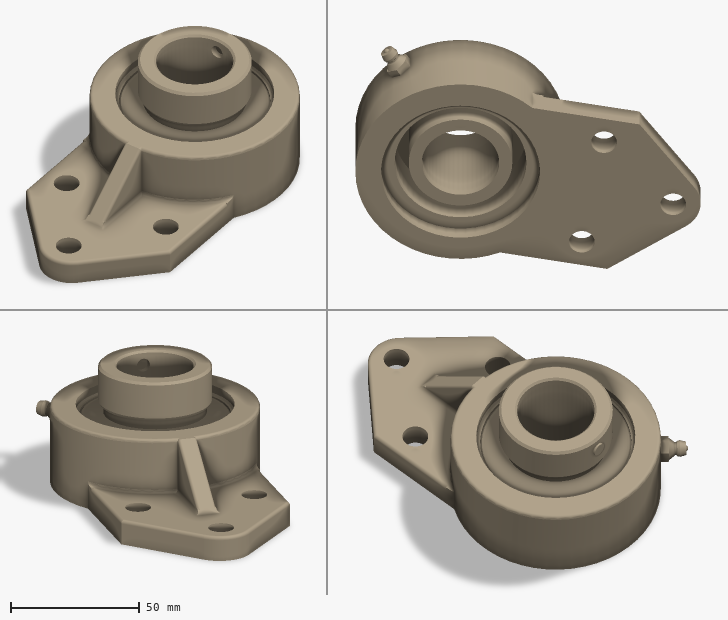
import cadquery as cq
import math

hub_diameter = 82.0
hub_radius = hub_diameter / 2
hub_height = 32.0
casting_fillet = 1.4
clearance = 0.1

plate_half_width = 34.5
plate_thickness = 9.9
plate_corner_y = -64.6
plate_length = 136 - hub_radius
nose_radius = 12.8

mounting_hole_diameter = 10.0
side_hole_x = 23.8
side_hole_y = -52.5
nose_hole_y = -84.3

rib_width = 7.6
rib_top_y = -41.3
rib_toe_y = -68.1
rib_edge_fillet = 1.1
rib_toe_height = casting_fillet + 2 * clearance

bore_diameter = 30.2
seat_diameter = 66.0
opening_diameter = 62.0
outer_ring_top = 28.8
outer_ring_bore = 51.4
outer_ring_chamfer = 0.7
seat_half_height = math.sqrt(seat_diameter**2 - opening_diameter**2) / 2
seat_center_z = outer_ring_top - seat_half_height
bearing_bottom = seat_center_z - seat_half_height

seal_diameter = 59.0
seal_thickness = 2.0
seal_edge_chamfer = 0.7
seal_rim_z = 27.9
seal_cone_diameter = 55.9
seal_inner_z = 28.8

inner_ring_diameter = 40.4
nose_diameter = 37.7
nose_top = 36.6

collar_diameter = 44.5
collar_bottom = 32.8
collar_top = 48.7
collar_top_chamfer = 1.0
collar_bottom_chamfer_height = 1.2
collar_bottom_chamfer_depth = 0.7
collar_bore_chamfer = 0.8

screw_diameter = 5.3
screw_z = 42.8
screw_inner_y = 17.7
screw_outer_y = 23.1

nipple_direction = (-1, 1, 0)
nipple_z = 22.0
shank_start = 36.7
hex_start = 40.8
hex_end = 44.0
shoulder_end = 46.0
neck_start = 46.4
neck_end = 47.0
head_start = 47.3
head_widest = 48.4
head_end = 50.9
ball_center = 50.5
shank_diameter = 5.3
hex_across_flats = 8.8
shoulder_diameter = 6.0
neck_diameter = 5.2
head_diameter = 6.5
head_start_diameter = 6.0
head_end_diameter = 5.3
ball_diameter = 2.5


def cylinder(diameter, bottom, top):
    return cq.Workplane("XY").workplane(offset=bottom).circle(diameter / 2).extrude(top - bottom)


def revolved(profile):
    """Turn a closed (radius, z) outline around the Z axis."""
    return cq.Workplane("XZ").polyline(profile).close().revolve(360, (0, 0), (0, 1))


def make_plate():
    nose_center_y = nose_radius - plate_length
    corner_drop = plate_corner_y - nose_center_y
    corner_distance = math.hypot(plate_half_width, corner_drop)
    tangent_angle = math.atan2(corner_drop, plate_half_width) - math.acos(nose_radius / corner_distance)
    tangent_x = nose_radius * math.cos(tangent_angle)
    tangent_y = nose_center_y + nose_radius * math.sin(tangent_angle)
    sharp_plate = (
        cq.Workplane("XY")
        .moveTo(-plate_half_width, 0)
        .lineTo(-plate_half_width, plate_corner_y)
        .lineTo(-tangent_x, tangent_y)
        .threePointArc((0, -plate_length), (tangent_x, tangent_y))
        .lineTo(plate_half_width, plate_corner_y)
        .lineTo(plate_half_width, 0)
        .close()
        .extrude(plate_thickness)
    )
    rounded_plate = sharp_plate.faces(">Z").edges("not >Y").fillet(casting_fillet)

    corner_y = -math.sqrt((hub_radius + casting_fillet) ** 2 - (plate_half_width - casting_fillet) ** 2)
    rounding_end_y = corner_y - clearance
    near_hub = (
        cq.Workplane("XY", origin=(0, rounding_end_y, 0))
        .box(2 * plate_half_width, -rounding_end_y, plate_thickness, centered=(True, False, False))
    )
    return rounded_plate.union(sharp_plate.intersect(near_hub))


def make_rib():
    slope = (hub_height - plate_thickness) / (rib_top_y - rib_toe_y)
    foot_z = plate_thickness / 2
    foot_y = rib_toe_y - (plate_thickness - foot_z) / slope
    back_y = rib_top_y + 2 * casting_fillet
    sharp_rib = (
        cq.Workplane("YZ")
        .polyline([(back_y, foot_z), (foot_y, foot_z), (rib_top_y, hub_height), (back_y, hub_height)])
        .close()
        .extrude(rib_width / 2, both=True)
    )
    upper_side_edges = sharp_rib.edges("(not |X) and (not |Z) and (not <Z)")
    rounded_rib = upper_side_edges.fillet(rib_edge_fillet)

    toe_top = plate_thickness + rib_toe_height
    toe = sharp_rib.intersect(cylinder(2 * plate_length, 0, toe_top))
    return rounded_rib.union(toe)


def make_housing():
    hub = cylinder(hub_diameter, 0, hub_height).faces(">Z").edges().fillet(casting_fillet)
    body = hub.union(make_plate()).union(make_rib())

    foot_zone = cq.selectors.BoxSelector(
        (-plate_half_width + casting_fillet, rib_toe_y - clearance, plate_thickness - clearance),
        (plate_half_width - casting_fillet, 0, plate_thickness + clearance),
    )
    body = body.edges(foot_zone).fillet(casting_fillet)

    body = body.cut(cylinder(opening_diameter, 0, hub_height))
    seat = cq.Workplane("XY", origin=(0, 0, seat_center_z)).sphere(seat_diameter / 2)
    body = body.cut(seat)

    mounting_holes = (
        cq.Workplane("XY")
        .pushPoints([(-side_hole_x, side_hole_y), (side_hole_x, side_hole_y), (0, nose_hole_y)])
        .circle(mounting_hole_diameter / 2)
        .extrude(plate_thickness)
    )
    return body.cut(mounting_holes)


def make_outer_ring():
    barrel = cq.Workplane("XY", origin=(0, 0, seat_center_z)).sphere(seat_diameter / 2)
    blank = cylinder(seat_diameter, bearing_bottom, outer_ring_top).intersect(barrel)
    face_z = outer_ring_top - outer_ring_chamfer
    face_radius = opening_diameter / 2 - outer_ring_chamfer
    hollow = revolved(
        [
            (0, bearing_bottom),
            (outer_ring_bore / 2, bearing_bottom),
            (outer_ring_bore / 2, seal_rim_z - seal_thickness),
            (seal_diameter / 2, seal_rim_z - seal_thickness),
            (seal_diameter / 2, face_z),
            (face_radius, face_z),
            (opening_diameter / 2, outer_ring_top),
            (0, outer_ring_top),
        ]
    )
    return blank.cut(hollow)


def make_seal():
    return revolved(
        [
            (inner_ring_diameter / 2, seal_rim_z - seal_thickness),
            (seal_diameter / 2, seal_rim_z - seal_thickness),
            (seal_diameter / 2, seal_rim_z - seal_edge_chamfer),
            (seal_diameter / 2 - seal_edge_chamfer, seal_rim_z),
            (seal_cone_diameter / 2, seal_rim_z),
            (inner_ring_diameter / 2, seal_inner_z),
        ]
    )


def make_inner_ring():
    return revolved(
        [
            (bore_diameter / 2, bearing_bottom),
            (inner_ring_diameter / 2, bearing_bottom),
            (inner_ring_diameter / 2, collar_bottom),
            (nose_diameter / 2, collar_bottom),
            (nose_diameter / 2, nose_top),
            (bore_diameter / 2, nose_top),
        ]
    )


def screw_cylinder(start_y, end_y):
    """Cylinder along Y at the height of the set screw."""
    return (
        cq.Workplane("XZ", origin=(0, start_y, screw_z))
        .circle(screw_diameter / 2)
        .extrude(start_y - end_y)
    )


def make_collar():
    outer_radius = collar_diameter / 2
    bore_radius = bore_diameter / 2
    collar = revolved(
        [
            (nose_diameter / 2, collar_bottom),
            (outer_radius - collar_bottom_chamfer_depth, collar_bottom),
            (outer_radius, collar_bottom + collar_bottom_chamfer_height),
            (outer_radius, collar_top - collar_top_chamfer),
            (outer_radius - collar_top_chamfer, collar_top),
            (bore_radius + collar_bore_chamfer, collar_top),
            (bore_radius, collar_top - collar_bore_chamfer),
            (bore_radius, nose_top),
            (nose_diameter / 2, nose_top),
        ]
    )
    return collar.cut(screw_cylinder(0, outer_radius))


def make_set_screw():
    return screw_cylinder(screw_inner_y, screw_outer_y)


def nipple_plane(distance):
    """Plane across the nipple axis, at a distance from the hub axis."""
    axis = cq.Vector(*nipple_direction).normalized()
    origin = axis * distance + cq.Vector(0, 0, nipple_z)
    return cq.Plane(origin=origin, xDir=(0, 0, 1), normal=axis)


def make_nipple_ball():
    return cq.Workplane(nipple_plane(ball_center)).sphere(ball_diameter / 2)


def make_nipple():
    turned_outline = [
        (0, shank_start),
        (shank_diameter / 2, shank_start),
        (shank_diameter / 2, hex_end),
        (hex_across_flats / 2, hex_end),
        (shoulder_diameter / 2, shoulder_end),
        (neck_diameter / 2, neck_start),
        (neck_diameter / 2, neck_end),
        (head_start_diameter / 2, head_start),
        (head_diameter / 2, head_widest),
        (head_end_diameter / 2, head_end),
        (0, head_end),
    ]
    turned = revolved(turned_outline).val().moved(cq.Location(nipple_plane(0)))
    hex_across_corners = hex_across_flats / math.cos(math.pi / 6)
    hexagon = (
        cq.Workplane(nipple_plane(hex_start))
        .polygon(6, hex_across_corners)
        .extrude(hex_end - hex_start)
    )
    return hexagon.union(cq.Workplane(turned)).cut(make_nipple_ball())


nipple = make_nipple()
nipple_ball = make_nipple_ball()
housing = make_housing().cut(nipple)
outer_ring = make_outer_ring()
seal = make_seal()
inner_ring = make_inner_ring()
collar = make_collar()
set_screw = make_set_screw()

result = cq.Compound.makeCompound(
    [
        housing.val(),
        nipple.val(),
        nipple_ball.val(),
        outer_ring.val(),
        seal.val(),
        inner_ring.val(),
        collar.val(),
        set_screw.val(),
    ]
)